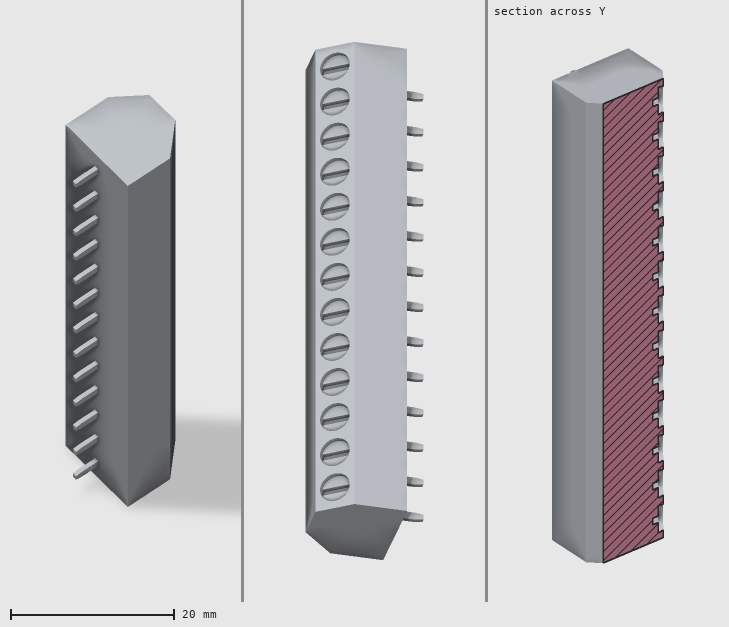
import cadquery as cq
import math

length = 66.0
width = 12.0
housing_depth = 10.8
shoulder_depth = 6.65
screw_bevel_run = 3.0
plain_bevel_run = 4.1

terminal_count = 13
end_margin = 3.0
terminal_pitch = (length - 2 * end_margin) / (terminal_count - 1)

overall_depth = 14.3
pin_length = overall_depth - housing_depth
pin_width = 0.6
pin_height = 1.0
pin_taper_length = 0.9
pin_taper_inset = 0.1

screw_diameter = 3.9
screw_recess = 0.65
slot_width = 0.85
slot_depth = 0.65

half_width = width / 2
bevel_rise = housing_depth - shoulder_depth
bevel_length = math.hypot(screw_bevel_run, bevel_rise)
terminal_heights = [
    end_margin + index * terminal_pitch
    for index in range(terminal_count)
]


def make_housing():
    outline = [
        (-half_width, 0),
        (half_width, 0),
        (half_width, shoulder_depth),
        (half_width - plain_bevel_run, housing_depth),
        (-half_width + screw_bevel_run, housing_depth),
        (-half_width, shoulder_depth),
    ]
    return cq.Workplane("XY").polyline(outline).close().extrude(length)


def make_pin(height):
    """Flat blade with its upper and lower sides tapering in towards the tip."""
    half_height = pin_height / 2
    half_tip = half_height - pin_taper_inset
    taper_start = pin_taper_length - pin_length
    side_profile = [
        (0, -half_height),
        (taper_start, -half_height),
        (-pin_length, -half_tip),
        (-pin_length, half_tip),
        (taper_start, half_height),
        (0, half_height),
    ]
    side_plane = cq.Workplane("YZ", origin=(0, 0, height))
    return side_plane.polyline(side_profile).close().extrude(pin_width / 2, both=True)


def make_screw_cutter(height):
    """Round recess with a straight slot across its floor, sunk into the middle of the bevel."""
    bevel_plane = cq.Plane(
        origin=(-half_width + screw_bevel_run / 2, shoulder_depth + bevel_rise / 2, height),
        xDir=(screw_bevel_run / bevel_length, bevel_rise / bevel_length, 0),
        normal=(-bevel_rise, screw_bevel_run, 0),
    )
    recess = cq.Workplane(bevel_plane).circle(screw_diameter / 2).extrude(-screw_recess)
    full_depth = screw_recess + slot_depth
    slot = cq.Workplane(bevel_plane).rect(screw_diameter, slot_width).extrude(-full_depth)
    round_limit = cq.Workplane(bevel_plane).circle(screw_diameter / 2).extrude(-full_depth)
    return recess.union(slot.intersect(round_limit))


result = make_housing()
for terminal_height in terminal_heights:
    result = result.union(make_pin(terminal_height))
    result = result.cut(make_screw_cutter(terminal_height))